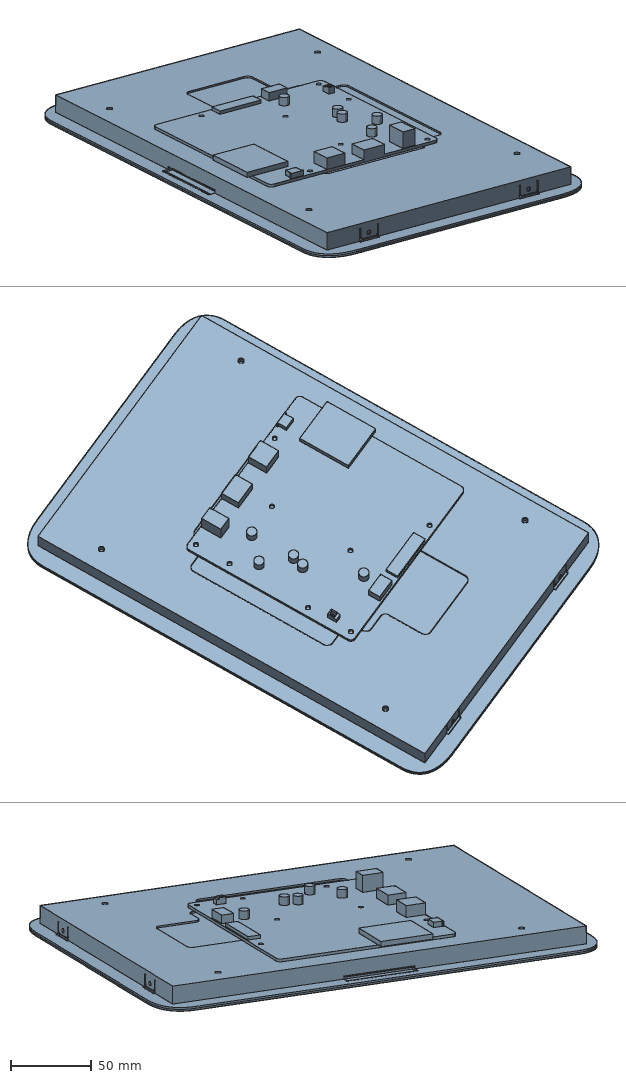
import cadquery as cq
PLATE_LENGTH = 307.2
PLATE_WIDTH = 209.0
TOTAL_HEIGHT = 27.0
CORNER_LENGTH = 21.2
CORNER_WIDTH = 25.8
CORNER_FULLNESS = 0.64
GLASS_THICKNESS = 1.2
FRAME_THICKNESS = 1.2
FRAME_TOP = GLASS_THICKNESS + FRAME_THICKNESS

COVER_LENGTH = 286.3
COVER_WIDTH = 187.7
COVER_TOP = 14.0
SHEET = 1.1
COVER_HEIGHT = COVER_TOP - FRAME_TOP
MOUNT_HOLE_DIAMETER = 3.7
MOUNT_HOLE_DEPTH = 4.0
MOUNT_HOLE_SPACING_X = 210.0
MOUNT_HOLE_SPACING_Y = 160.0

WINDOW_RADIUS = 3.7
WINDOW_LEFT = -66.7
WINDOW_RIGHT = 63.5
WINDOW_TOP = 41.0
WINDOW_BOTTOM = -37.5
UPPER_BAY_HALF_LENGTH = 52.0
UPPER_BAY_TOP = 62.5
SIDE_BAY_LEFT = -99.0
SIDE_BAY_TOP = 22.7
SIDE_BAY_BOTTOM = -26.7

TAB_SPACING = 123.0
TAB_WIDTH = 12.5
TAB_CORNER_RADIUS = 1.5
TAB_HOLE_DIAMETER = 2.8
TAB_HOLE_HEIGHT = 6.8
TAB_BOTTOM = FRAME_TOP + SHEET
SLIT_WIDTH = 1.0
SLIT_TOP = 10.8
TAB_CUT_WIDTH = TAB_WIDTH + 2 * SLIT_WIDTH

SLOT_LENGTH = 49.2
SLOT_TOP = 4.3
SLOT_REACH = 4.3
LEDGE_DEPTH = SLOT_REACH / 2
LEDGE_DROP = FRAME_THICKNESS / 2

PANEL_GAP = 2.5
PANEL_LENGTH = COVER_LENGTH - 2 * (SHEET + PANEL_GAP)
PANEL_WIDTH = COVER_WIDTH - 2 * (SHEET + PANEL_GAP)
PANEL_TOP = COVER_TOP - SHEET

BOARD_LEFT = -62.5
BOARD_RIGHT = 61.5
BOARD_FRONT = -78.0
BOARD_BACK = 52.0
BOARD_THICKNESS = 1.8
BOARD_TOP = COVER_TOP + BOARD_THICKNESS
BOARD_RADIUS = 3.0
BOARD_HOLE_DIAMETER = 3.0
BOARD_HOLES = [
    (-57.8, 46.5), (-26.0, 46.5), (32.0, 46.5), (56.8, 46.5),
    (-26.0, -2.0), (32.0, -2.0),
    (-57.8, -44.0), (56.8, -44.0),
]

CAPACITOR_DIAMETER = 6.5
CAPACITOR_TOP = 21.5
CAPACITORS = [(16.0, 37.5), (-8.0, 24.5), (0.3, 22.0), (31.0, 22.5), (-43.3, 9.2)]
BLOCKS = {
    "tall socket": (46.5, 60.5, 25.0, 34.0, TOTAL_HEIGHT),
    "wide socket": (49.0, 61.5, -5.8, 10.0, 22.5),
    "square socket": (47.5, 61.0, -34.0, -20.3, 23.7),
    "small socket": (53.8, 60.5, -60.5, -52.5, 19.5),
    "small socket lip": (59.5, 60.5, -61.5, -51.5, 19.5),
    "pin header": (-61.0, -52.8, 4.5, 18.5, 21.5),
    "ribbon socket": (-61.5, -52.8, -33.2, -1.5, 18.0),
    "card reader": (6.8, 42.7, -82.0, -50.7, 19.5),
}
SWITCH_LEFT = -46.7
SWITCH_LENGTH = 6.5
SWITCH_WIDTH = 4.3
SWITCH_CENTER_Y = 43.5
SWITCH_TOP = 20.3
SWITCH_WALL = 1.0
SWITCH_SHELF = 2.0
SWITCH_SHELF_TOP = 19.5


def block(left, right, front, back, bottom, top):
    """Upright box given by its six sides."""
    return cq.Workplane("XY").box(
        right - left, back - front, top - bottom, centered=False
    ).translate((left, front, bottom))


def rounded_plate(thickness, bottom):
    """Plate shared by the glass and the frame, its corners rounded a little longer in Y than in X."""
    x = PLATE_LENGTH / 2
    y = PLATE_WIDTH / 2
    flat_x = x - CORNER_LENGTH
    flat_y = y - CORNER_WIDTH
    pull_x = flat_x + CORNER_FULLNESS * CORNER_LENGTH
    pull_y = flat_y + CORNER_FULLNESS * CORNER_WIDTH
    quarter = (
        cq.Workplane("XY", origin=(0, 0, bottom))
        .lineTo(x, 0)
        .lineTo(x, flat_y)
        .bezier([(x, flat_y), (x, pull_y), (pull_x, y), (flat_x, y)])
        .lineTo(0, y)
        .close()
        .extrude(thickness)
    )
    half = quarter.union(quarter.mirror("YZ"))
    return half.union(half.mirror("XZ")).clean()


def tab_places():
    """Side (-1 or +1) and Y position of each of the four screw tabs."""
    return [(side, y) for side in (-1, 1) for y in (-TAB_SPACING / 2, TAB_SPACING / 2)]


def make_glass():
    return rounded_plate(GLASS_THICKNESS, 0)


def make_frame():
    frame = rounded_plate(FRAME_THICKNESS, GLASS_THICKNESS)

    for side, y in tab_places():
        slot = (
            cq.Workplane("XY", origin=(side * COVER_LENGTH / 2, y, GLASS_THICKNESS))
            .rect(2 * SHEET, TAB_CUT_WIDTH)
            .extrude(FRAME_THICKNESS)
        )
        frame = frame.cut(slot)

    half = SLOT_LENGTH / 2
    wall = -COVER_WIDTH / 2
    outer = wall - SLOT_REACH
    slot = block(-half, half, outer + LEDGE_DEPTH, -PANEL_WIDTH / 2, GLASS_THICKNESS, FRAME_TOP)
    ledge = block(-half, half, outer, wall, FRAME_TOP - LEDGE_DROP, FRAME_TOP)
    return frame.cut(slot).cut(ledge)


def mount_holes():
    """Four blind screw holes through the cover and into the panel behind it."""
    return (
        cq.Workplane("XY", origin=(0, 0, COVER_TOP))
        .rect(MOUNT_HOLE_SPACING_X, MOUNT_HOLE_SPACING_Y, forConstruction=True)
        .vertices()
        .circle(MOUNT_HOLE_DIAMETER / 2)
        .extrude(-MOUNT_HOLE_DEPTH)
    )


def make_panel():
    return (
        cq.Workplane("XY", origin=(0, 0, FRAME_TOP))
        .rect(PANEL_LENGTH, PANEL_WIDTH)
        .extrude(PANEL_TOP - FRAME_TOP)
        .cut(mount_holes())
    )


def cover_window():
    """Stepped window through the top sheet, with rounded corners."""
    outline = [
        (-UPPER_BAY_HALF_LENGTH, UPPER_BAY_TOP),
        (UPPER_BAY_HALF_LENGTH, UPPER_BAY_TOP),
        (UPPER_BAY_HALF_LENGTH, WINDOW_TOP),
        (WINDOW_RIGHT, WINDOW_TOP),
        (WINDOW_RIGHT, WINDOW_BOTTOM),
        (-UPPER_BAY_HALF_LENGTH, WINDOW_BOTTOM),
        (-UPPER_BAY_HALF_LENGTH, SIDE_BAY_BOTTOM),
        (SIDE_BAY_LEFT, SIDE_BAY_BOTTOM),
        (SIDE_BAY_LEFT, SIDE_BAY_TOP),
        (WINDOW_LEFT, SIDE_BAY_TOP),
        (WINDOW_LEFT, WINDOW_TOP),
        (-UPPER_BAY_HALF_LENGTH, WINDOW_TOP),
    ]
    return (
        cq.Workplane("XY", origin=(0, 0, PANEL_TOP))
        .polyline(outline)
        .close()
        .extrude(SHEET)
        .edges("|Z")
        .fillet(WINDOW_RADIUS)
    )


def tab_cut(side, y):
    """Slits beside and below one screw tab, and the hole in it."""
    wall = cq.Workplane("YZ", origin=(side * (COVER_LENGTH - SHEET) / 2, y, 0))
    opening = (
        wall.center(0, (FRAME_TOP + SLIT_TOP) / 2)
        .rect(TAB_CUT_WIDTH, SLIT_TOP - FRAME_TOP)
        .extrude(SHEET, both=True)
    )
    tab = (
        wall.center(0, (TAB_BOTTOM + SLIT_TOP) / 2)
        .rect(TAB_WIDTH, SLIT_TOP - TAB_BOTTOM)
        .extrude(SHEET, both=True)
        .edges("|X and <Z")
        .fillet(TAB_CORNER_RADIUS)
    )
    hole = wall.center(0, TAB_HOLE_HEIGHT).circle(TAB_HOLE_DIAMETER / 2).extrude(SHEET, both=True)
    return opening.cut(tab).union(hole)


def make_cover():
    cover = (
        cq.Workplane("XY", origin=(0, 0, FRAME_TOP))
        .rect(COVER_LENGTH, COVER_WIDTH)
        .extrude(COVER_HEIGHT)
        .faces("<Z")
        .shell(-SHEET)
    )
    cover = cover.cut(mount_holes()).cut(cover_window())
    for side, y in tab_places():
        cover = cover.cut(tab_cut(side, y))
    half = SLOT_LENGTH / 2
    front = -COVER_WIDTH / 2
    return cover.cut(block(-half, half, front, front + SHEET, FRAME_TOP, SLOT_TOP))


def make_switch():
    """Small box with a lowered shelf on its left and a pocket in its top."""
    right = SWITCH_LEFT + SWITCH_LENGTH
    front = SWITCH_CENTER_Y - SWITCH_WIDTH / 2
    back = front + SWITCH_WIDTH
    inner_left = SWITCH_LEFT + SWITCH_SHELF
    body = block(SWITCH_LEFT, right, front, back, BOARD_TOP, SWITCH_TOP)
    shelf = block(SWITCH_LEFT, inner_left, front, back, SWITCH_SHELF_TOP, SWITCH_TOP)
    pocket = block(
        inner_left, right - SWITCH_WALL, front + SWITCH_WALL, back - SWITCH_WALL, BOARD_TOP, SWITCH_TOP
    )
    return body.cut(shelf).cut(pocket)


def make_board():
    board = (
        block(BOARD_LEFT, BOARD_RIGHT, BOARD_FRONT, BOARD_BACK, COVER_TOP, BOARD_TOP)
        .edges("|Z")
        .fillet(BOARD_RADIUS)
        .faces(">Z")
        .workplane(origin=(0, 0, BOARD_TOP))
        .pushPoints(BOARD_HOLES)
        .hole(BOARD_HOLE_DIAMETER)
    )
    for left, right, front, back, top in BLOCKS.values():
        board = board.union(block(left, right, front, back, BOARD_TOP, top))
    capacitors = (
        cq.Workplane("XY", origin=(0, 0, BOARD_TOP))
        .pushPoints(CAPACITORS)
        .circle(CAPACITOR_DIAMETER / 2)
        .extrude(CAPACITOR_TOP - BOARD_TOP)
    )
    return board.union(capacitors).union(make_switch())


glass = make_glass()
frame = make_frame()
panel = make_panel()
cover = make_cover()
board = make_board()

result = cq.Compound.makeCompound(
    [glass.val(), frame.val(), panel.val(), cover.val(), board.val()]
)